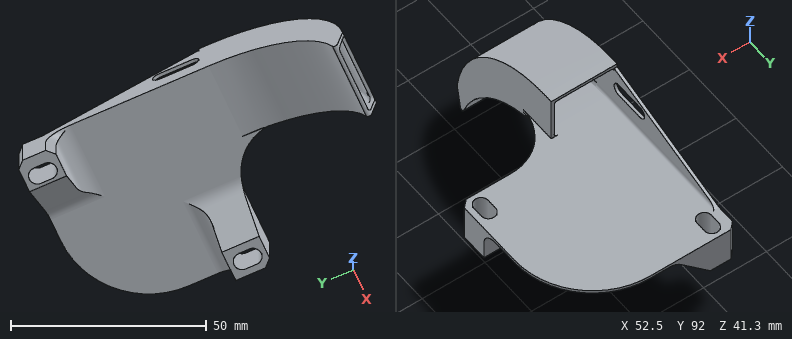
import cadquery as cq
import math

plate_width = 52.5
plate_back = 92.0
plate_front = 43.5
wall = 1.0
chamfer = 2.0
corner_radius = 24.8
notch_radius = 15.0

duct_width = 21.1
duct_rear = 40.5
duct_height = 15.0
outer_radius = 38.0
inner_radius = 37.0
outlet_top = -18.3
tip_bottom = -26.3
tip_radius = 0.7
tip_center_y = 2.1
root_fillet = 1.0

wall_end = 84.4
wall_height = 13.8
vent_length = 13.0
vent_height = 4.0
vent_center_z = 6.9

leg_bottom = -12.0
leg_width = 8.6
leg_depth = 10.5
leg_flare = 5.0
slot_length = 7.6
slot_width = 4.5
slot_inset_x = 4.1
slot_inset_left = 5.4
slot_inset_y = 5.2

outer_center_z = duct_height - outer_radius
inner_center_z = -wall - inner_radius
arc_start = math.sqrt(outer_radius**2 - (outlet_top - outer_center_z) ** 2)


def point_at_z(radius, center_z, z):
    """Point at height z on the -Y side of an arc centred at Y = arc_start."""
    return (arc_start - math.sqrt(radius**2 - (z - center_z) ** 2), z)


def point_at_angle(radius, center_z, degrees):
    """Point on the arc, turned from its top toward -Y."""
    angle = math.radians(degrees)
    return (arc_start - radius * math.sin(angle), center_z + radius * math.cos(angle))


def arc_middle(radius, center_z, end):
    """Point halfway along the arc from its top to end."""
    degrees = math.degrees(math.atan2(arc_start - end[0], end[1] - center_z))
    return point_at_angle(radius, center_z, degrees / 2)


def plate_outline(height):
    """Plan shape of the plate extruded downward from Z = 0."""
    diagonal = math.sqrt(0.5)
    big_x = plate_width - corner_radius
    big_y = plate_back - corner_radius
    notch_x = duct_width + notch_radius
    notch_y = plate_front - notch_radius
    return (
        cq.Workplane("XY")
        .moveTo(0, arc_start)
        .lineTo(0, plate_back - chamfer)
        .lineTo(chamfer, plate_back)
        .lineTo(big_x, plate_back)
        .threePointArc(
            (big_x + corner_radius * diagonal, big_y + corner_radius * diagonal),
            (plate_width, big_y),
        )
        .lineTo(plate_width, plate_front + chamfer)
        .lineTo(plate_width - chamfer, plate_front)
        .lineTo(notch_x, plate_front)
        .threePointArc(
            (notch_x - notch_radius * diagonal, notch_y + notch_radius * diagonal),
            (duct_width, notch_y),
        )
        .lineTo(duct_width, arc_start)
        .close()
        .extrude(-height)
    )


def flared_side(x, y, direction):
    """Large block ending in a vertical face at (x, y) that flares out into the plate.

    direction is the angle of the face's outward normal in the XY plane."""
    reach = 2 * plate_back
    diagonal = leg_flare * (1 - math.sqrt(0.5))
    return (
        cq.Workplane("XZ")
        .moveTo(-reach, leg_bottom)
        .lineTo(0, leg_bottom)
        .lineTo(0, -wall - leg_flare)
        .threePointArc((diagonal, -wall - diagonal), (leg_flare, -wall))
        .lineTo(leg_flare, 0)
        .lineTo(-reach, 0)
        .close()
        .extrude(reach, both=True)
        .rotate((0, 0, 0), (0, 0, 1), direction)
        .translate((x, y, 0))
    )


def sloped_side():
    """Right-hand block whose -X side slopes at 45 degrees and blends into the plate."""
    foot_x = plate_width - leg_width
    root_x = foot_x + leg_bottom + wall
    tangent = leg_flare * math.tan(math.radians(22.5))
    start_x = root_x - tangent
    middle_angle = math.radians(22.5)
    middle = (
        start_x + leg_flare * math.sin(middle_angle),
        -wall - leg_flare * (1 - math.cos(middle_angle)),
    )
    end_offset = tangent * math.sqrt(0.5)
    return (
        cq.Workplane("XZ")
        .moveTo(plate_width, leg_bottom)
        .lineTo(foot_x, leg_bottom)
        .lineTo(root_x + end_offset, -wall - end_offset)
        .threePointArc(middle, (start_x, -wall))
        .lineTo(start_x, 0)
        .lineTo(plate_width, 0)
        .close()
        .extrude(-plate_back)
    )


def right_leg():
    side = flared_side(0, plate_front + leg_depth, 90)
    return plate_outline(-leg_bottom).intersect(sloped_side()).intersect(side)


def left_leg():
    front_y = plate_back - leg_depth
    slope = sloped_side().mirror("YZ").translate((plate_width, 0, 0))
    leg = plate_outline(-leg_bottom).intersect(slope)
    leg = leg.intersect(flared_side(0, front_y, -90))
    return leg.intersect(flared_side(0, front_y + chamfer, -135))


def duct_body():
    """Solid crescent with a rounded tip."""
    outer_end = point_at_z(outer_radius, outer_center_z, outlet_top)
    tip_z = tip_bottom + tip_radius
    inner_end = point_at_z(inner_radius, inner_center_z, tip_z)
    return (
        cq.Workplane("YZ")
        .moveTo(duct_rear, -wall)
        .lineTo(duct_rear, duct_height)
        .lineTo(arc_start, duct_height)
        .threePointArc(arc_middle(outer_radius, outer_center_z, outer_end), outer_end)
        .lineTo(tip_center_y - tip_radius, tip_z)
        .threePointArc((tip_center_y, tip_bottom), inner_end)
        .threePointArc(
            arc_middle(inner_radius, inner_center_z, inner_end), (arc_start, -wall)
        )
        .close()
        .extrude(duct_width)
    )


def duct_cavity():
    """Air passage, open at the rear and at the tip, with rounded floor and roof corners."""
    floor_radius = inner_radius + wall
    roof_radius = outer_radius - wall
    beyond = 4.6
    floor_end = point_at_z(floor_radius, inner_center_z, tip_bottom - root_fillet)
    roof_end = point_at_z(roof_radius, outer_center_z, outlet_top)
    roof_z = duct_height - wall
    return (
        cq.Workplane("YZ", origin=(wall, 0, 0))
        .moveTo(duct_rear + beyond, 0)
        .lineTo(arc_start, 0)
        .threePointArc(arc_middle(floor_radius, inner_center_z, floor_end), floor_end)
        .lineTo(-beyond, tip_bottom - root_fillet)
        .lineTo(-beyond, outlet_top)
        .lineTo(*roof_end)
        .threePointArc(arc_middle(roof_radius, outer_center_z, roof_end), (arc_start, roof_z))
        .lineTo(duct_rear + beyond, roof_z)
        .close()
        .extrude(duct_width - 2 * wall)
        .faces("<X or >X")
        .edges()
        .fillet(root_fillet)
    )


def side_wall():
    """Tapered wall on the plate edge with a concave fillet along its foot."""
    taper = (
        cq.Workplane("YZ")
        .polyline([(wall_end, -wall), (wall_end, 0), (duct_rear, wall_height), (duct_rear, -wall)])
        .close()
        .extrude(wall + root_fillet)
    )
    foot_x = wall + root_fillet
    diagonal = root_fillet * (1 - math.sqrt(0.5))
    section = (
        cq.Workplane("XZ")
        .moveTo(0, -wall)
        .lineTo(foot_x, -wall)
        .lineTo(foot_x, 0)
        .threePointArc((wall + diagonal, diagonal), (wall, root_fillet))
        .lineTo(wall, wall_height)
        .lineTo(0, wall_height)
        .close()
        .extrude(-plate_back)
    )
    vent = (
        cq.Workplane("YZ")
        .center(duct_rear + vent_length / 2, vent_center_z)
        .slot2D(vent_length, vent_height)
        .extrude(foot_x)
    )
    return taper.intersect(section).cut(vent)


def mounting_slots():
    centers = [
        (slot_inset_left, plate_back - slot_inset_y),
        (plate_width - slot_inset_x, plate_front + slot_inset_y),
    ]
    return (
        cq.Workplane("XY").pushPoints(centers).slot2D(slot_length, slot_width, 90).extrude(leg_bottom)
    )


duct = duct_body().cut(duct_cavity())
plate = plate_outline(wall).union(right_leg()).union(left_leg())
result = plate.union(side_wall()).union(duct).cut(mounting_slots())